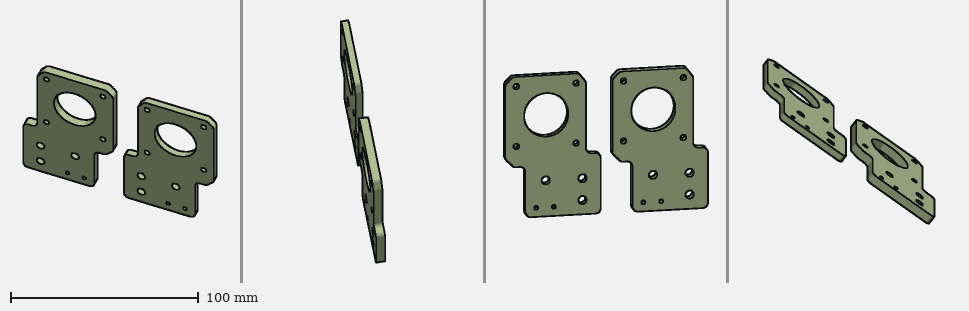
import cadquery as cq

overall_length = 110
plate_width = 51.9
plate_height = 78.0
plate_pitch = overall_length - plate_width
head_left = 8.0
foot_right = 41.0
left_step_height = 33.5
right_step_height = 28.0
corner_radius = 3.0
top_left_chamfer_x = 4.0
top_left_chamfer_z = 5.0
top_right_chamfer = 4.0
lower_right_chamfer = 4.5

plate_thicknesses = [5.0, 4.0]

bore_diameter = 24.0
bore_x = 29.7
bore_z = 56.1
motor_hole_diameter = 3.0
motor_hole_spacing_x = 32.6
motor_hole_spacing_z = 33.1

fixing_hole_diameter = 4.4
fixing_x = 10.0
fixing_z = 19.9
fixing_spacing_x = 19.9
fixing_spacing_z = 12.0

small_hole_diameter = 2.1
small_hole_first_x = 25.5
small_hole_spacing = 9.7
small_hole_z = 5.1


def plate_blank(thickness):
    """Stepped plate in the XZ plane, with every corner rounded."""
    outline = [
        (0, 0),
        (foot_right, 0),
        (foot_right, right_step_height),
        (plate_width - lower_right_chamfer, right_step_height),
        (plate_width, right_step_height + lower_right_chamfer),
        (plate_width, plate_height - top_right_chamfer),
        (plate_width - top_right_chamfer, plate_height),
        (head_left + top_left_chamfer_x, plate_height),
        (head_left, plate_height - top_left_chamfer_z),
        (head_left, left_step_height),
        (0, left_step_height),
    ]
    blank = cq.Workplane("XZ").polyline(outline).close().extrude(-thickness)
    return blank.edges("|Y").fillet(corner_radius)


def hole_cutters(centers, diameter, depth):
    """Cylinders along Y for holes at the given (x, z) centers."""
    return cq.Workplane("XZ").pushPoints(centers).circle(diameter / 2).extrude(-depth)


def motor_plate(thickness):
    """Plate with its bore, motor holes, fixing holes and small holes."""
    motor_holes = [
        (bore_x + side * motor_hole_spacing_x / 2, bore_z + level * motor_hole_spacing_z / 2)
        for side in (-1, 1)
        for level in (-1, 1)
    ]
    fixing_holes = [
        (fixing_x, fixing_z),
        (fixing_x + fixing_spacing_x, fixing_z),
        (fixing_x, fixing_z - fixing_spacing_z),
    ]
    small_holes = [
        (small_hole_first_x, small_hole_z),
        (small_hole_first_x + small_hole_spacing, small_hole_z),
    ]

    plate = plate_blank(thickness)
    plate = plate.cut(hole_cutters([(bore_x, bore_z)], bore_diameter, thickness))
    plate = plate.cut(hole_cutters(motor_holes, motor_hole_diameter, thickness))
    plate = plate.cut(hole_cutters(fixing_holes, fixing_hole_diameter, thickness))
    return plate.cut(hole_cutters(small_holes, small_hole_diameter, thickness))


plates = [
    motor_plate(thickness).translate((index * plate_pitch, 0, 0))
    for index, thickness in enumerate(plate_thicknesses)
]

result = cq.Compound.makeCompound([plate.val() for plate in plates])